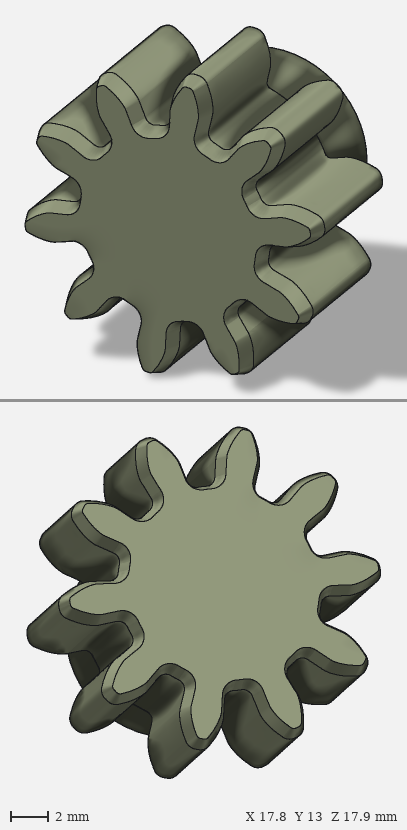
import cadquery as cq
import math


tooth_count = 10
module = 1.5
dedendum_ratio = 1.25
pressure_angle = math.radians(20)
first_tooth_angle = 9.9
flank_taper = math.radians(5)
tip_radius = 0.65
root_radius = 0.54

pitch_circle = module * tooth_count / 2
base_circle = pitch_circle * math.cos(pressure_angle)
outer_circle = pitch_circle + module
root_circle = pitch_circle - dedendum_ratio * module

gear_width = 8.0
hub_length = 5.0
hub_radius = 5.5
hub_fillet = 1.0
chamfer_length = 1.0
chamfer_angle = math.radians(20)
chamfer_inset = chamfer_length * math.tan(chamfer_angle)

tooth_pitch = 2 * math.pi / tooth_count


def involute(angle):
    return math.tan(angle) - angle


def polar(radius, angle):
    return (radius * math.cos(angle), radius * math.sin(angle))


base_half_angle = tooth_pitch / 4 + involute(pressure_angle)


def half_angle(radius):
    """Half of the angle that a tooth fills at a radius on the involute."""
    return base_half_angle - involute(math.acos(base_circle / radius))


def flank_points(steps=8):
    """Involute points from base circle to tip, as (radius, half angle)."""
    depth = outer_circle - base_circle
    radii = [base_circle + depth * (i / steps) ** 2 for i in range(steps + 1)]
    return [(radius, half_angle(radius)) for radius in radii]


def root_half_angle():
    """Half angle where the straight lower flank meets the root circle."""
    line_offset = base_circle * math.sin(base_half_angle - flank_taper)
    return flank_taper + math.asin(line_offset / root_circle)


def gear_outline():
    """Closed outline of all teeth with sharp tip and root corners."""
    foot = root_half_angle()
    flank = flank_points()
    tip_half_angle = flank[-1][1]
    start = math.radians(first_tooth_angle)
    outline = cq.Workplane("XZ").moveTo(*polar(root_circle, start - foot))
    for tooth in range(tooth_count):
        axis = start + tooth * tooth_pitch
        rising = [polar(radius, axis - angle) for radius, angle in flank]
        falling = [polar(radius, axis + angle) for radius, angle in reversed(flank)]
        outline = (
            outline.lineTo(*rising[0])
            .spline(rising[1:], includeCurrent=True)
            .threePointArc(polar(outer_circle, axis), polar(outer_circle, axis + tip_half_angle))
            .spline(falling[1:], includeCurrent=True)
            .lineTo(*polar(root_circle, axis + foot))
            .threePointArc(
                polar(root_circle, axis + tooth_pitch / 2),
                polar(root_circle, axis + tooth_pitch - foot),
            )
        )
    return outline.close()


def edges_near(radius):
    """Filter that keeps edges whose centre lies at a radius from the gear axis."""
    tolerance = 0.002

    def matches(edge):
        centre = edge.Center()
        return abs(math.hypot(centre.x, centre.z) - radius) < tolerance
    return matches


def toothed_bar():
    """Teeth over the gear width and on through the hub fillet."""
    bar = gear_outline().extrude(-(gear_width + hub_fillet))
    bar = bar.edges("|Y").filter(edges_near(outer_circle)).fillet(tip_radius)
    bar = bar.edges("|Y").filter(edges_near(root_circle)).fillet(root_radius)
    return bar.faces("<Y").chamfer(chamfer_inset, chamfer_length)


def envelope():
    """Solid of revolution that bounds the teeth and blends them into the hub."""
    fillet_mid = hub_fillet * (1 - math.cos(math.pi / 4))
    clear_radius = outer_circle + module
    profile = (
        cq.Workplane("XY")
        .lineTo(clear_radius, 0)
        .lineTo(clear_radius, gear_width)
        .lineTo(hub_radius + hub_fillet, gear_width)
        .threePointArc(
            (hub_radius + fillet_mid, gear_width + fillet_mid),
            (hub_radius, gear_width + hub_fillet),
        )
        .lineTo(0, gear_width + hub_fillet)
        .close()
    )
    return profile.revolve(360, (0, 0, 0), (0, 1, 0))


def hub():
    return cq.Workplane("XZ", origin=(0, gear_width, 0)).circle(hub_radius).extrude(-hub_length)


result = toothed_bar().intersect(envelope()).union(hub())